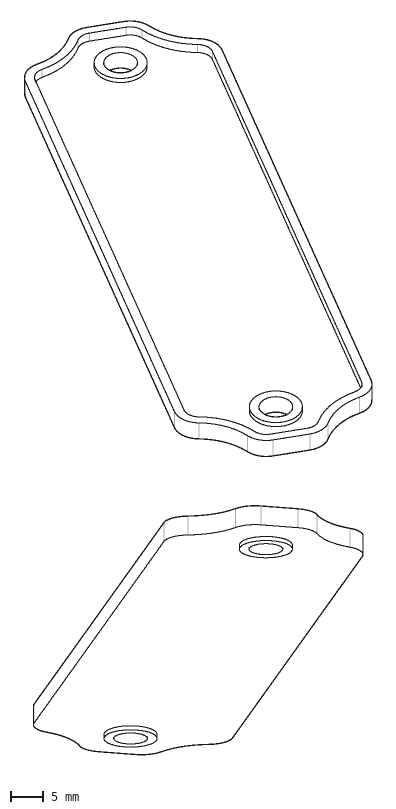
import cadquery as cq

length = 109.0
width = 31.0
scallop_radius = 10.4
scallop_overhang = 2.8
corner_radius = 3.9

plate_thickness = 3.0
pocket_depth = 1.5
foot_height = 0.7
boss_height = 0.8
rim_width = 1.5

boss_diameter = 8.1
hole_diameter = 5.1
hole_inset = 9.0

floor_thickness = plate_thickness - pocket_depth
boss_length = foot_height + floor_thickness + boss_height
scallop_x = length / 2 + scallop_overhang
scallop_centers = [(sx * scallop_x, sy * width / 2) for sx in (-1, 1) for sy in (-1, 1)]
hole_centers = [(sx * (length / 2 - hole_inset), 0) for sx in (-1, 1)]


def make_plate():
    """Rectangular plate with scalloped corners and rounded transitions."""
    plate = cq.Workplane("XY").rect(length, width).extrude(plate_thickness)
    scallops = cq.Workplane("XY").pushPoints(scallop_centers).circle(scallop_radius).extrude(plate_thickness)
    return plate.cut(scallops).edges("|Z").fillet(corner_radius)


def make_pocket(plate):
    """Recess that leaves a rim of constant width around the plate."""
    outline = plate.faces(">Z").wires().toPending()
    return outline.offset2D(-rim_width).extrude(-pocket_depth, combine=False)


def make_cylinders(diameter):
    """Upright cylinders at both screw positions, from foot to boss top."""
    base = cq.Workplane("XY").workplane(offset=-foot_height)
    return base.pushPoints(hole_centers).circle(diameter / 2).extrude(boss_length)


plate = make_plate()
tray = plate.cut(make_pocket(plate))
result = tray.union(make_cylinders(boss_diameter)).cut(make_cylinders(hole_diameter))